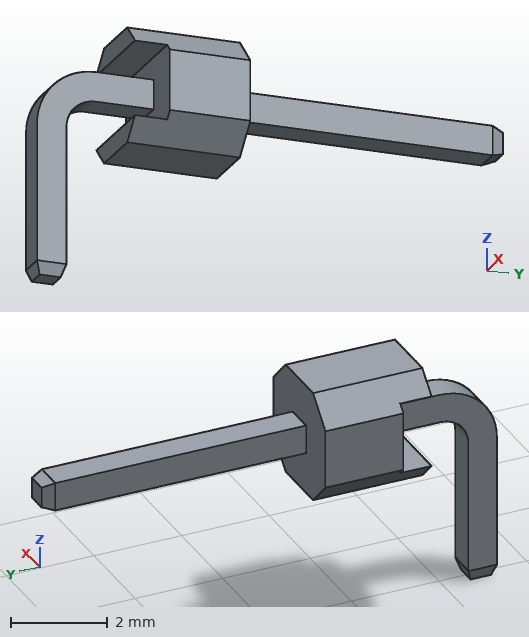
import cadquery as cq


housing_size = 2.54
corner_chamfer = 0.6
housing_length = 2.5
flange_length = 0.71
flange_thickness = 0.45

overall_length = 10.36
overall_height = 5.54
pin_width = 0.65
bend_inner_radius = 0.65
rear_pin_length = 6.0
tip_length = 0.27
tip_width = 0.47

half_pin = pin_width / 2
bend_center_radius = bend_inner_radius + half_pin
rear_end_y = housing_length + rear_pin_length
front_end_y = rear_end_y - overall_length
leg_y = front_end_y + half_pin
bend_start_y = leg_y + bend_center_radius
leg_end_z = housing_size / 2 - overall_height
leg_length = -bend_center_radius - (leg_end_z + tip_length)


def make_housing():
    """Octagonal block with a gap between the top and bottom flanges."""
    block = (
        cq.Workplane("XY")
        .box(housing_size, housing_length, housing_size, centered=(True, False, True))
        .edges("|Y")
        .chamfer(corner_chamfer)
    )
    gap_height = housing_size - 2 * flange_thickness
    gap = cq.Workplane("XY").box(
        housing_size, flange_length, gap_height, centered=(True, False, True)
    )
    return block.cut(gap)


def make_tip(base_center, direction):
    """Square tapered tip growing from base_center along direction."""
    base = cq.Plane(origin=base_center, xDir=(1, 0, 0), normal=direction)
    return (
        cq.Workplane(base)
        .rect(pin_width, pin_width)
        .workplane(offset=tip_length)
        .rect(tip_width, tip_width)
        .loft(ruled=True)
    )


def make_pin():
    """Square pin bent down through a right angle, tapered at both ends."""
    rear_shoulder_y = rear_end_y - tip_length
    outer_radius = bend_inner_radius + pin_width
    bend_diagonal = 0.5 ** 0.5
    bend_center_z = -bend_center_radius

    def bend_middle(radius):
        return (
            bend_start_y - radius * bend_diagonal,
            bend_center_z + radius * bend_diagonal,
        )

    shank = (
        cq.Workplane("YZ")
        .moveTo(rear_shoulder_y, half_pin)
        .lineTo(bend_start_y, half_pin)
        .threePointArc(bend_middle(outer_radius), (front_end_y, bend_center_z))
        .line(0, -leg_length)
        .line(pin_width, 0)
        .line(0, leg_length)
        .threePointArc(bend_middle(bend_inner_radius), (bend_start_y, -half_pin))
        .lineTo(rear_shoulder_y, -half_pin)
        .close()
        .extrude(half_pin, both=True)
    )
    rear_tip = make_tip((0, rear_shoulder_y, 0), (0, 1, 0))
    leg_tip = make_tip((0, leg_y, leg_end_z + tip_length), (0, 0, -1))
    return shank.union(rear_tip).union(leg_tip)


result = make_housing().union(make_pin())